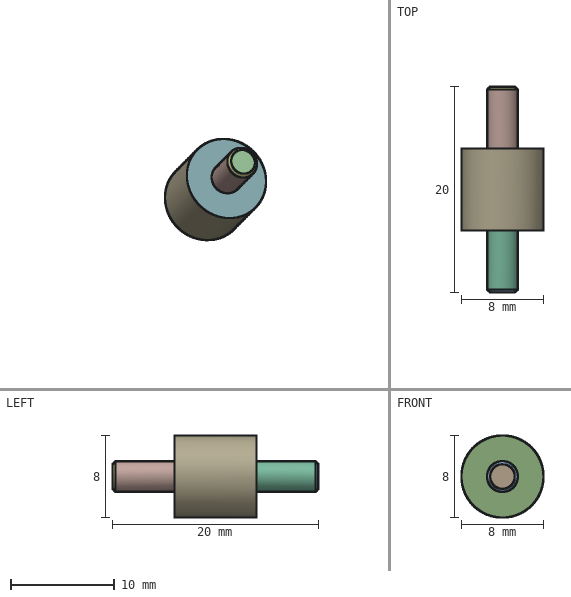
import cadquery as cq

body_diameter = 8.0
body_length = 8.0
stud_diameter = 3.0
stud_length = 6.0
stud_tip_diameter = 2.387

overall_length = body_length + 2 * stud_length
tip_chamfer = (stud_diameter - stud_tip_diameter) / 2


def cylinder_along_y(diameter, length):
    """Solid cylinder on the Y axis, centred on the origin."""
    end_plane = cq.Workplane("XZ", origin=(0, length / 2, 0))
    return end_plane.circle(diameter / 2).extrude(length)


rod = cylinder_along_y(stud_diameter, overall_length)
rod = rod.faces("<Y or >Y").chamfer(tip_chamfer)

body = cylinder_along_y(body_diameter, body_length)

result = body.union(rod)